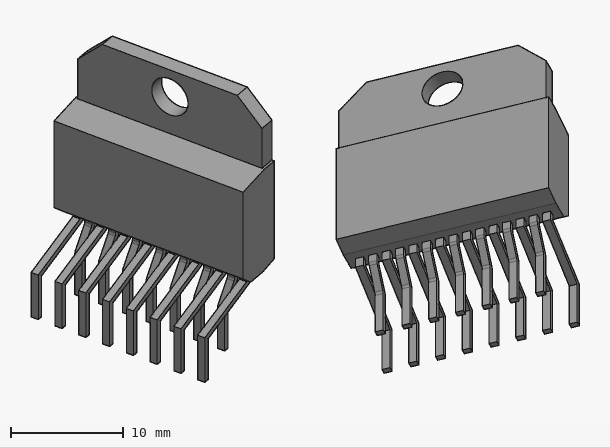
import cadquery as cq
import math


housing_width = 20.2
housing_depth = 5.0
housing_bottom = 7.62
housing_top = 18.55
top_draft_drop = 0.53
bottom_draft_rise = 0.38
bottom_draft_depth = 1.8
front_chamfer_depth = 1.22
front_chamfer_height = 1.05

tab_width = 19.68
tab_thickness = 1.6
tab_top = 25.4
tab_corner_width = 2.65
tab_corner_height = 2.57
hole_diameter = 3.85
hole_height = 22.5

lead_count = 15
lead_pitch = 1.27
lead_width = 0.75
lead_thickness = 0.55
lead_exit = -3.23
outer_row = -9.9
row_spacing = 5.08
inner_row = outer_row + row_spacing
outer_upper_bend = 7.04
outer_lower_bend = 4.8
inner_upper_bend = 6.8
inner_lower_bend = 4.57
inner_bend_radius = 0.5


def make_housing_block():
    """Side profile of the moulded block, extruded across the full width."""
    profile = [
        (0, housing_bottom + bottom_draft_rise),
        (0, housing_top),
        (-tab_thickness, housing_top),
        (-housing_depth, housing_top - top_draft_drop),
        (-housing_depth, housing_bottom + front_chamfer_height),
        (-housing_depth + front_chamfer_depth, housing_bottom),
        (-bottom_draft_depth, housing_bottom),
    ]
    return cq.Workplane("YZ").polyline(profile).close().extrude(housing_width / 2, both=True)


def make_lead(x_center, tip_row, upper_bend, lower_bend, bend_radius=0):
    """Flat lead of constant thickness with two opposite bends."""
    bend_angle = math.atan2(lead_exit - tip_row, upper_bend - lower_bend)
    miter_drop = lead_thickness * math.tan(bend_angle / 2)
    profile = [
        (lead_exit, housing_bottom),
        (lead_exit, upper_bend),
        (tip_row, lower_bend),
        (tip_row, 0),
        (tip_row + lead_thickness, 0),
        (tip_row + lead_thickness, lower_bend - miter_drop),
        (lead_exit + lead_thickness, upper_bend - miter_drop),
        (lead_exit + lead_thickness, housing_bottom),
    ]
    lead = cq.Workplane("YZ").polyline(profile).close().extrude(lead_width / 2, both=True)
    if bend_radius:
        lead = lead.edges("|X").edges("not (<Z or >Z)").fillet(bend_radius)
    return lead.translate((x_center, 0, 0))


def make_housing():
    """Moulded block and its leads; the leads alternate between the two rows."""
    housing = make_housing_block()
    for index in range(lead_count):
        x_center = (index - (lead_count - 1) / 2) * lead_pitch
        if index % 2 == 0:
            lead = make_lead(x_center, outer_row, outer_upper_bend, outer_lower_bend)
        else:
            lead = make_lead(x_center, inner_row, inner_upper_bend, inner_lower_bend, inner_bend_radius)
        housing = housing.union(lead)
    return housing


def make_tab():
    """Plate standing on the housing, with cut top corners and a through hole."""
    half_width = tab_width / 2
    outline = [
        (-half_width, housing_top),
        (-half_width, tab_top - tab_corner_height),
        (-half_width + tab_corner_width, tab_top),
        (half_width - tab_corner_width, tab_top),
        (half_width, tab_top - tab_corner_height),
        (half_width, housing_top),
    ]
    plate = cq.Workplane("XZ").polyline(outline).close().extrude(tab_thickness)
    hole = cq.Workplane("XZ").center(0, hole_height).circle(hole_diameter / 2).extrude(tab_thickness)
    return plate.cut(hole)


housing = make_housing()
tab = make_tab()

result = cq.Compound.makeCompound([housing.solids().val(), tab.solids().val()])